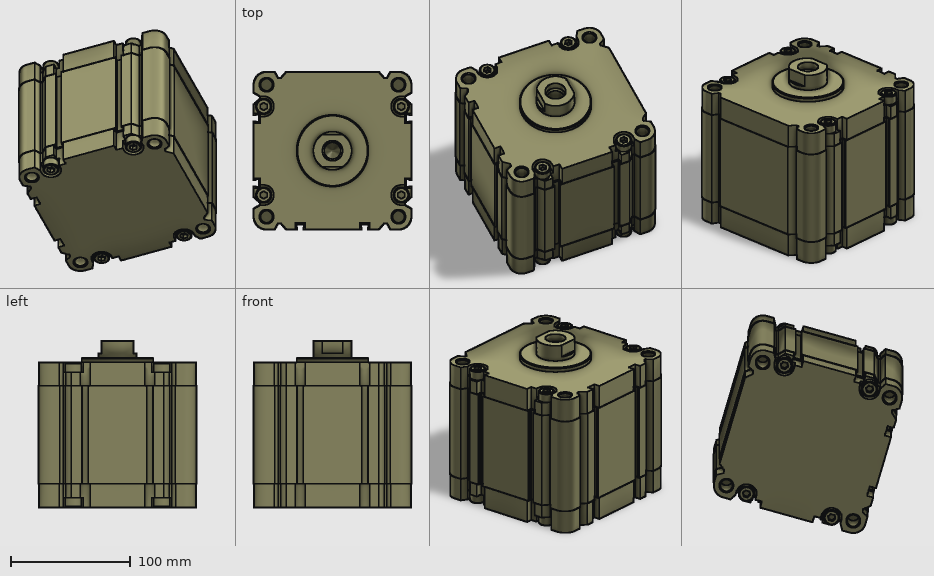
import cadquery as cq
import math

HOUSING_HEIGHT = 121.2
CAP_HEIGHT = 19.7
CAP_WIDTH = 131.2
BARREL_WIDTH = 132.0
CAP_INSET = (BARREL_WIDTH - CAP_WIDTH) / 2
BARREL_HEIGHT = HOUSING_HEIGHT - 2 * CAP_HEIGHT

CORNER_HOLE_OFFSET = 55.0
CORNER_HOLE_DIAMETER = 10.0
CORNER_HOLE_MOUTH_DIAMETER = 12.0
CORNER_HOLE_MOUTH_ANGLE = 45.0
CORNER_HOLE_DEPTH = 20.8

GROOVE_OUTER_EDGE = 48.2
GROOVE_INNER_EDGE = 38.6
GROOVE_DEPTH = 5.3
GROOVE_OUTER_SLOPE = 60.0
GROOVE_INNER_SLOPE = 48.0

SLOT_OFFSET = 27.0
CAP_SLOT_WIDTH = 8.3
CAP_SLOT_FLOOR_LEVEL = 60.2
BARREL_SLOT_WIDTH = 6.0
BARREL_SLOT_MOUTH_WIDTH = 5.0
BARREL_SLOT_FLOOR_LEVEL = 61.6
BARREL_SLOT_LIP = 1.8

SCREW_X = 57.4
SCREW_Y = 37.0
RECESS_DIAMETER = 17.0
RECESS_DEPTH = 8.3
SCREW_HEAD_DIAMETER = 13.0
SCREW_HEAD_HEIGHT = 8.0
SCREW_HEAD_CHAMFER = 0.8
SOCKET_ACROSS_FLATS = 5.5
SOCKET_DEPTH = 4.2

COLLAR_DIAMETER = 60.0
COLLAR_HEIGHT = 3.9
COLLAR_CHAMFER = 0.8

ROD_DIAMETER = 32.0
ROD_TOP = 139.0
ROD_BOTTOM = HOUSING_HEIGHT - CAP_HEIGHT
FLAT_HEIGHT = 10.4
ACROSS_FLATS = 27.0
ROD_BORE_DIAMETER = 17.0
ROD_BORE_DEPTH = 6.5
ROD_HOLE_DIAMETER = 13.9
ROD_HOLE_DEPTH = 25.0
DRILL_POINT_ANGLE = 118.0

SIDES_WITH_SLOTS = (-90, 0, 90)
ALL_SIDES = (-90, 0, 90, 180)


def cut_from_sides(body, cutter, angles):
    """Cut a cutter placed on the -Y side, turned about Z to each angle."""
    for angle in angles:
        body = body.cut(cutter.rotate((0, 0, 0), (0, 0, 1), angle))
    return body


def mirrored_pair(cutter):
    return cutter.union(cutter.mirror("YZ"))


def rounded_block(width, bottom, height):
    corner_radius = width / 2 - CORNER_HOLE_OFFSET
    block = cq.Workplane("XY", origin=(0, 0, bottom)).rect(width, width).extrude(height)
    return block.edges("|Z").fillet(corner_radius)


def groove_pair(enlargement, bottom, height):
    """V-grooves with a narrow floor, made larger all round by the enlargement."""
    face = BARREL_WIDTH / 2
    floor_level = face - GROOVE_DEPTH
    outer_run = GROOVE_DEPTH / math.tan(math.radians(GROOVE_OUTER_SLOPE))
    inner_run = GROOVE_DEPTH / math.tan(math.radians(GROOVE_INNER_SLOPE))
    outline = [
        (GROOVE_OUTER_EDGE, -face),
        (GROOVE_OUTER_EDGE - outer_run, -floor_level),
        (GROOVE_INNER_EDGE + inner_run, -floor_level),
        (GROOVE_INNER_EDGE, -face),
    ]
    section = cq.Workplane("XY", origin=(0, 0, bottom)).polyline(outline).close()
    if enlargement > 0:
        section = section.offset2D(enlargement, "intersection")
    return mirrored_pair(section.extrude(height))


def slot_box(width, near_level, far_level, bottom, height):
    """Box on the -Y side between two distances from the axis."""
    center = (SLOT_OFFSET, -(near_level + far_level) / 2, bottom)
    return cq.Workplane("XY", origin=center).rect(width, far_level - near_level).extrude(height)


def cap_slot_pair(bottom):
    slot = slot_box(CAP_SLOT_WIDTH, CAP_SLOT_FLOOR_LEVEL, CAP_WIDTH / 2, bottom, CAP_HEIGHT)
    return mirrored_pair(slot)


def barrel_slot_pair():
    face = BARREL_WIDTH / 2
    mouth = slot_box(BARREL_SLOT_MOUTH_WIDTH, BARREL_SLOT_FLOOR_LEVEL, face, CAP_HEIGHT, BARREL_HEIGHT)
    undercut = slot_box(
        BARREL_SLOT_WIDTH, BARREL_SLOT_FLOOR_LEVEL, face - BARREL_SLOT_LIP, CAP_HEIGHT, BARREL_HEIGHT
    )
    return mirrored_pair(mouth.union(undercut))


def barrel():
    body = rounded_block(BARREL_WIDTH, CAP_HEIGHT, BARREL_HEIGHT)
    body = cut_from_sides(body, groove_pair(0, CAP_HEIGHT, BARREL_HEIGHT), ALL_SIDES)
    return cut_from_sides(body, barrel_slot_pair(), SIDES_WITH_SLOTS)


def cap(bottom):
    body = rounded_block(CAP_WIDTH, bottom, CAP_HEIGHT)
    body = cut_from_sides(body, groove_pair(CAP_INSET, bottom, CAP_HEIGHT), ALL_SIDES)
    return cut_from_sides(body, cap_slot_pair(bottom), SIDES_WITH_SLOTS)


def corner_points(level):
    spacing = 2 * CORNER_HOLE_OFFSET
    plane = cq.Workplane("XY", origin=(0, 0, level))
    return plane.rect(spacing, spacing, forConstruction=True).vertices()


def corner_holes():
    """Four blind holes from the top face, each with a conical mouth."""
    mouth_width = (CORNER_HOLE_MOUTH_DIAMETER - CORNER_HOLE_DIAMETER) / 2
    mouth_depth = mouth_width / math.tan(math.radians(CORNER_HOLE_MOUTH_ANGLE))
    holes = corner_points(HOUSING_HEIGHT).circle(CORNER_HOLE_DIAMETER / 2).extrude(-CORNER_HOLE_DEPTH)
    mouth_circles = corner_points(HOUSING_HEIGHT).circle(CORNER_HOLE_MOUTH_DIAMETER / 2)
    return holes.union(mouth_circles.extrude(-mouth_depth, taper=CORNER_HOLE_MOUTH_ANGLE))


def screw_points(level):
    plane = cq.Workplane("XY", origin=(0, 0, level))
    return plane.rect(2 * SCREW_X, 2 * SCREW_Y, forConstruction=True).vertices()


def screw_recesses():
    """U-shaped recesses in the top face, round at the screw and open to the -X and +X sides."""
    floor = HOUSING_HEIGHT - RECESS_DEPTH
    round_ends = screw_points(floor).circle(RECESS_DIAMETER / 2).extrude(RECESS_DEPTH)
    opening_length = BARREL_WIDTH / 2 - SCREW_X
    opening_x = SCREW_X + opening_length / 2
    openings = (
        cq.Workplane("XY", origin=(0, 0, floor))
        .rect(2 * opening_x, 2 * SCREW_Y, forConstruction=True)
        .vertices()
        .rect(opening_length, RECESS_DIAMETER)
        .extrude(RECESS_DEPTH)
    )
    return round_ends.union(openings)


def screw_heads():
    """Socket heads standing on the recess floors below the top face."""
    floor = HOUSING_HEIGHT - RECESS_DEPTH
    heads = screw_points(floor).circle(SCREW_HEAD_DIAMETER / 2).extrude(SCREW_HEAD_HEIGHT)
    heads = heads.faces(">Z").edges().chamfer(SCREW_HEAD_CHAMFER)
    sockets = screw_points(floor + SCREW_HEAD_HEIGHT).polygon(6, SOCKET_ACROSS_FLATS, circumscribed=True)
    return heads.cut(sockets.extrude(-SOCKET_DEPTH))


def collar():
    disc = cq.Workplane("XY", origin=(0, 0, HOUSING_HEIGHT)).circle(COLLAR_DIAMETER / 2)
    return disc.extrude(COLLAR_HEIGHT).faces(">Z").edges().chamfer(COLLAR_CHAMFER)


def at_both_ends(feature):
    """A top-end feature together with its mirror image at the bottom end."""
    middle = (0, 0, HOUSING_HEIGHT / 2)
    return feature, feature.mirror("XY", middle)


def make_housing():
    body = barrel().union(cap(0)).union(cap(HOUSING_HEIGHT - CAP_HEIGHT))
    for cutter in at_both_ends(corner_holes()) + at_both_ends(screw_recesses()):
        body = body.cut(cutter)
    for heads in at_both_ends(screw_heads()):
        body = body.union(heads)
    rod_seat = cq.Workplane("XY", origin=(0, 0, ROD_BOTTOM)).circle(ROD_DIAMETER / 2)
    return body.union(collar()).cut(rod_seat.extrude(ROD_TOP - ROD_BOTTOM))


def wrench_flats():
    """Material removed from the rod end on the -Y and +Y sides."""
    plane = cq.Workplane("XY", origin=(0, 0, ROD_TOP - FLAT_HEIGHT))
    blank = plane.rect(ROD_DIAMETER, ROD_DIAMETER).extrude(FLAT_HEIGHT)
    kept = plane.rect(ROD_DIAMETER, ACROSS_FLATS).extrude(FLAT_HEIGHT)
    return blank.cut(kept)


def rod_hole():
    """Stepped hole in the rod end: bore, 45-degree shoulder, drilled hole with a conical point."""
    bore_radius = ROD_BORE_DIAMETER / 2
    hole_radius = ROD_HOLE_DIAMETER / 2
    shoulder_top = ROD_TOP - ROD_BORE_DEPTH
    shoulder_bottom = shoulder_top - (bore_radius - hole_radius)
    point_top = ROD_TOP - ROD_HOLE_DEPTH
    point_length = hole_radius / math.tan(math.radians(DRILL_POINT_ANGLE / 2))
    profile = [
        (0, ROD_TOP),
        (bore_radius, ROD_TOP),
        (bore_radius, shoulder_top),
        (hole_radius, shoulder_bottom),
        (hole_radius, point_top),
        (0, point_top - point_length),
    ]
    return cq.Workplane("XZ").polyline(profile).close().revolve(360, (0, 0, 0), (0, 1, 0))


def make_rod():
    rod = cq.Workplane("XY", origin=(0, 0, ROD_BOTTOM)).circle(ROD_DIAMETER / 2)
    return rod.extrude(ROD_TOP - ROD_BOTTOM).cut(wrench_flats()).cut(rod_hole())


housing = make_housing()
rod = make_rod()
result = cq.Compound.makeCompound([housing.val(), rod.val()])